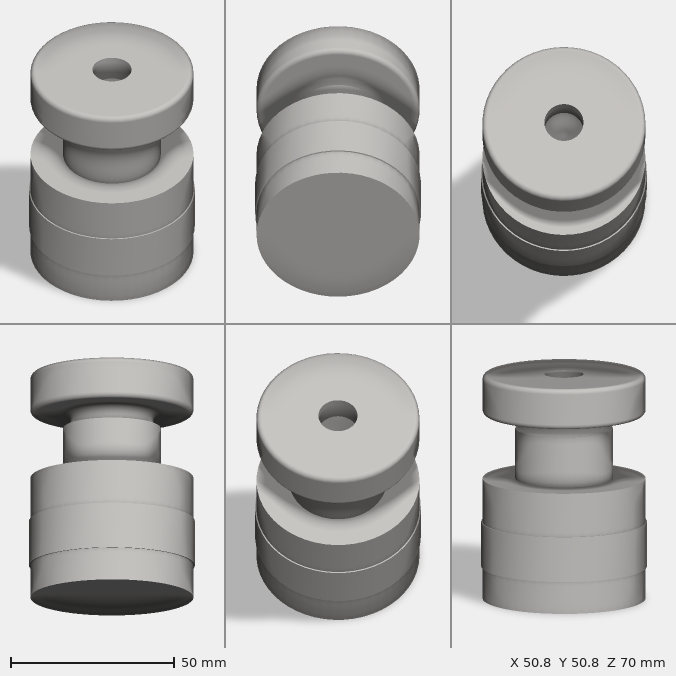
import cadquery as cq
import math

total_height = 70.0
band_bottom = 10.0
band_top = 24.0
base_top = 37.5
neck_waist = 55.4
head_bottom = 57.5

band_radius = 25.4
body_radius = 25.0
stem_radius = 15.0
neck_radius = 12.75

head_fillet = 1.5
hole_diameter = 12.0
hole_depth = 8.0
drill_angle = 118.0


def cylinder(radius, bottom, top):
    """Upright cylinder on the Z axis between two heights."""
    return cq.Workplane("XY").workplane(offset=bottom).circle(radius).extrude(top - bottom)


def make_base():
    """Round base with a slightly wider band around its middle."""
    lower = cylinder(body_radius, 0, band_bottom)
    band = cylinder(band_radius, band_bottom, band_top)
    upper = cylinder(body_radius, band_top, base_top)
    return lower.union(band).union(upper)


def make_blind_hole():
    """Drilled hole in the knob's top face, ending in a cone."""
    radius = hole_diameter / 2
    shoulder = total_height - hole_depth
    tip = shoulder - radius / math.tan(math.radians(drill_angle / 2))
    return (
        cq.Workplane("XZ")
        .moveTo(0, tip)
        .lineTo(radius, shoulder)
        .lineTo(radius, total_height)
        .lineTo(0, total_height)
        .close()
        .revolve(360, (0, 0), (0, 1))
    )


def make_knob():
    """Stem standing on the base, a hollow-curved neck and a rounded head."""
    upper_neck_fillet = head_bottom - neck_waist
    lower_neck_fillet = stem_radius - neck_radius
    neck_bottom = neck_waist - lower_neck_fillet
    arc_inset = 1 - math.sqrt(0.5)
    stem = (
        cq.Workplane("XZ")
        .moveTo(0, base_top)
        .lineTo(stem_radius, base_top)
        .lineTo(stem_radius, neck_bottom)
        .threePointArc(
            (neck_radius + arc_inset * lower_neck_fillet, neck_bottom + arc_inset * lower_neck_fillet),
            (neck_radius, neck_waist),
        )
        .threePointArc(
            (neck_radius + arc_inset * upper_neck_fillet, head_bottom - arc_inset * upper_neck_fillet),
            (neck_radius + upper_neck_fillet, head_bottom),
        )
        .lineTo(0, head_bottom)
        .close()
        .revolve(360, (0, 0), (0, 1))
    )
    head = cylinder(body_radius, head_bottom, total_height).edges().fillet(head_fillet)
    return stem.union(head).cut(make_blind_hole())


base = make_base()
knob = make_knob()
result = cq.Compound.makeCompound([base.val(), knob.val()])